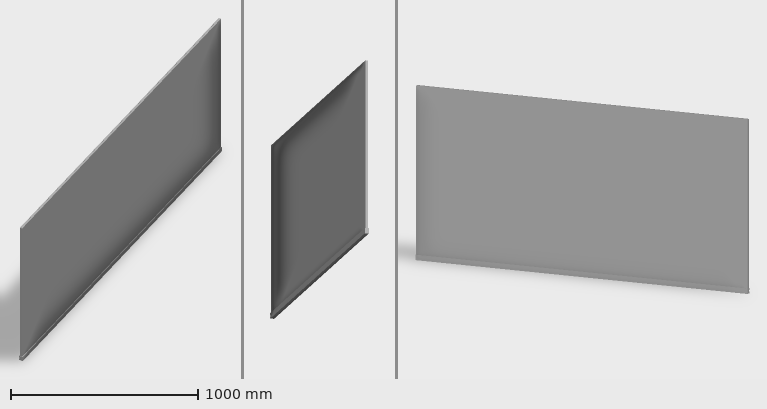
import cadquery as cq

length = 1983.0
height = 952.0
depth = 22.0

rail_height = 30.0
rail_projection = 4.0
panel_end_clearance = 1.0

skin_thickness = 4.0
core_setback = 1.0

joint_start = 9.0
joint_width = 4.0
recess_bottom = 10.0
recess_height = 8.0
face_cut_depth = 1.0


def block(x_min, x_max, y_min, y_max, z_min, z_max):
    """Axis-aligned box between the given limits."""
    size = (x_max - x_min, y_max - y_min, z_max - z_min)
    return cq.Workplane("XY").box(*size, centered=False).translate((x_min, y_min, z_min))


def panel_layer(x_min, x_max, setback):
    """One layer of the panel, set back by the given amount at both ends and the top."""
    end_gap = panel_end_clearance + setback
    return block(x_min, x_max, end_gap, length - end_gap, rail_height, height - setback)


def panel():
    """Skin, core and skin stacked along X and centred over the rail."""
    front_face = rail_projection
    back_face = depth - rail_projection
    core_front = front_face + skin_thickness
    core_back = back_face - skin_thickness
    front_skin = panel_layer(front_face, core_front, 0)
    core = panel_layer(core_front, core_back, core_setback)
    back_skin = panel_layer(core_back, back_face, 0)
    return front_skin.union(core).union(back_skin)


def rail():
    """Full-length rail with a joint groove in its -X face and a recess in each face."""
    joint_end = joint_start + joint_width
    recess_top = recess_bottom + recess_height
    joint = block(0, face_cut_depth, joint_start, joint_end, 0, rail_height)
    body = block(0, depth, 0, length, 0, rail_height).cut(joint)
    for x_min in (0, depth - face_cut_depth):
        x_max = x_min + face_cut_depth
        body = body.cut(block(x_min, x_max, 0, joint_start, recess_bottom, recess_top))
    return body


result = rail().union(panel())